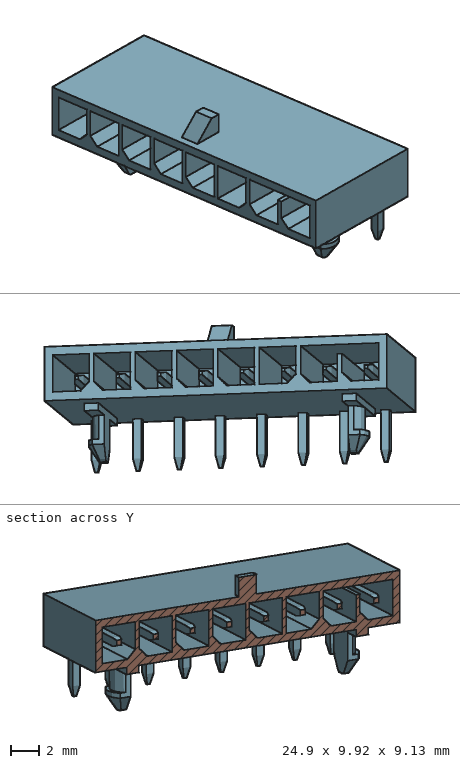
import cadquery as cq


length = 24.85
depth = 9.92
height = 3.9

contact_count = 8
row_span = 21.0
pitch = row_span / (contact_count - 1)
contact_x = [i * pitch - row_span / 2 for i in range(contact_count)]

cavity_wall = 0.35
cavity_width = pitch - cavity_wall
cavity_margin = 0.62
cavity_top = height - cavity_margin
cavity_depth = 7.7
key_chamfer = 0.65
key_sides = [1, -1, -1, -1, -1, 1, -1, -1]
gap_height = 0.67

pin_size = 0.62
pin_tip_size = 0.22
pin_tip_length = 0.85
pin_setback = 2.0
leg_length = 3.7
leg_back_offset = 1.07
leg_y = depth - leg_back_offset

latch_width = 1.47
latch_height = 1.45
latch_front_y = 0.6
latch_back_y = 2.9
latch_flat = 0.77

rail_end_offset = 3.58
rail_inner_x = length / 2 - rail_end_offset
rail_width = 1.02
rail_front_y = 1.65
rail_length = 6.45
rail_height = 0.52

peg_y = 4.62
peg_half_width = 1.0
peg_flat = 0.4
barb_radius = 1.32
barb_top_z = -2.24
taper_top_z = -2.6
peg_bottom_z = -3.78
peg_bottom_radius = 0.55
peg_tip_half_width = 0.27
peg_tip_chamfer = 0.17


def make_housing():
    return cq.Workplane("XY").box(length, depth, height, centered=(True, False, False))


def make_cavity(x, side):
    """Square cavity with its lower corner on the given side cut off as a key."""
    left, right = -cavity_width / 2, cavity_width / 2
    outline = [
        (left, cavity_margin),
        (right - key_chamfer, cavity_margin),
        (right, cavity_margin + key_chamfer),
        (right, cavity_top),
        (left, cavity_top),
    ]
    points = [(x + side * px, pz) for px, pz in outline]
    return cq.Workplane("XZ").polyline(points).close().extrude(-cavity_depth)


def make_wall_gap():
    """Gap that joins the tops of the last two cavities."""
    wall_x = (contact_x[-2] + contact_x[-1]) / 2
    gap = cq.Workplane("XY").box(pitch, cavity_depth, gap_height, centered=(True, False, False))
    return gap.translate((wall_x, 0, cavity_top - gap_height))


def make_pin(shank_plane, shank_length):
    """Square pin along the plane's normal, narrowing to a blunt tip."""
    shank = cq.Workplane(shank_plane).rect(pin_size, pin_size).extrude(shank_length)
    tip = (
        shank.faces(cq.DirectionMinMaxSelector(shank_plane.zDir, True))
        .workplane()
        .rect(pin_size, pin_size)
        .workplane(offset=pin_tip_length)
        .rect(pin_tip_size, pin_tip_size)
        .loft(combine=False)
    )
    return shank.union(tip)


def make_contact(x):
    """Mating pin toward the front and solder leg downward, both rooted in the housing."""
    forward = cq.Plane((x, leg_y, height / 2), (1, 0, 0), (0, -1, 0))
    downward = cq.Plane((x, leg_y, height / 2), (1, 0, 0), (0, 0, -1))
    mating_pin = make_pin(forward, leg_y - pin_setback - pin_tip_length)
    leg = make_pin(downward, height / 2 + leg_length - pin_tip_length)
    return mating_pin.union(leg)


def make_latch():
    profile = [
        (latch_front_y, height),
        (latch_back_y, height),
        (latch_back_y, height + latch_height),
        (latch_back_y - latch_flat, height + latch_height),
    ]
    return cq.Workplane("YZ").polyline(profile).close().extrude(latch_width / 2, both=True)


def make_rail():
    rail = cq.Workplane("XY").box(rail_width, rail_length, rail_height, centered=False)
    return rail.translate((rail_inner_x, rail_front_y, -rail_height))


def make_peg_shaft():
    return (
        cq.Workplane("XY")
        .moveTo(0, -peg_half_width)
        .lineTo(peg_flat, -peg_half_width)
        .threePointArc((rail_width, 0), (peg_flat, peg_half_width))
        .lineTo(0, peg_half_width)
        .close()
        .extrude(taper_top_z)
    )


def make_peg_barb():
    """Outer half of a cone with a short straight rim, its sides trimmed to the width of the shaft."""
    cone = (
        cq.Workplane("XZ")
        .moveTo(0, barb_top_z)
        .lineTo(barb_radius, barb_top_z)
        .lineTo(barb_radius, taper_top_z)
        .lineTo(peg_bottom_radius, peg_bottom_z)
        .lineTo(0, peg_bottom_z)
        .close()
        .revolve(360, (0, 0), (0, 1))
    )
    half_profile = [
        (peg_half_width, barb_top_z),
        (peg_half_width, taper_top_z),
        (peg_tip_half_width + peg_tip_chamfer, peg_bottom_z + peg_tip_chamfer),
        (peg_tip_half_width, peg_bottom_z),
    ]
    mirrored_half = [(-y, z) for y, z in reversed(half_profile)]
    side_trim = cq.Workplane("YZ").polyline(half_profile + mirrored_half).close().extrude(barb_radius)
    return cone.intersect(side_trim)


def make_mount():
    """Rail and snap peg at the +X end."""
    peg = make_peg_shaft().union(make_peg_barb()).translate((rail_inner_x, peg_y, 0))
    return make_rail().union(peg)


result = make_housing()
for x, side in zip(contact_x, key_sides):
    result = result.cut(make_cavity(x, side))
result = result.cut(make_wall_gap())
for x in contact_x:
    result = result.union(make_contact(x))
mount = make_mount()
result = result.union(make_latch()).union(mount).union(mount.mirror("YZ"))